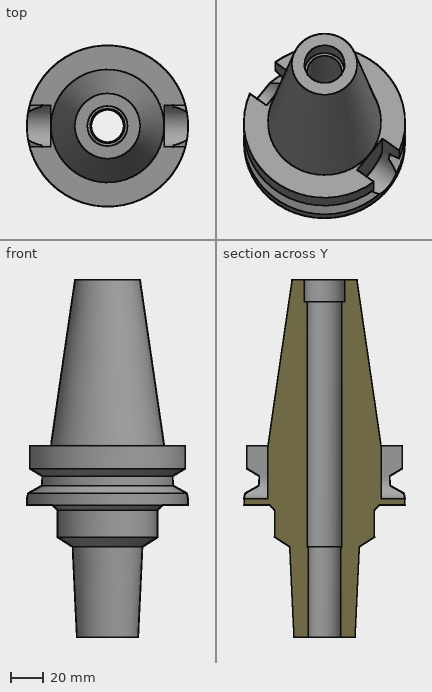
import cadquery as cq

total_height = 221.8
gauge_height = 120.0
flange_top = 118.9
groove_upper_edge = 104.7
groove_floor_top = 100.0
groove_floor_bottom = 94.0
groove_lower_edge = 89.4
flange_bottom = 82.0
collar_top = 79.0
collar_bottom = 62.0
nose_top = 56.1

flange_radius = 100.0 / 2
groove_radius = 42.5
gauge_radius = 35.0
flange_cone_radius = 34.4
collar_radius = 31.0
nose_top_radius = 21.7
nose_end_radius = 19.0

taper_ratio = 7 / 24
shank_end_radius = gauge_radius - (total_height - gauge_height) * taper_ratio / 2

tool_bore_radius = 10.0
shank_bore_radius = 10.6
shank_bore_start = nose_top
counterbore_radius = 12.5
counterbore_depth = 13.8

slot_width = 26.0
slot_bottom = 86.0
slot_floor_offset = 35.3


def make_body():
    """Revolve the outer profile, given as (radius, height) points, about Z."""
    profile = [
        (0, 0),
        (nose_end_radius, 0),
        (nose_top_radius, nose_top),
        (collar_radius, collar_bottom),
        (collar_radius, collar_top),
        (flange_cone_radius, flange_bottom),
        (flange_radius, flange_bottom),
        (flange_radius, groove_lower_edge),
        (groove_radius, groove_floor_bottom),
        (groove_radius, groove_floor_top),
        (flange_radius, groove_upper_edge),
        (flange_radius, flange_top),
        (gauge_radius, flange_top),
        (gauge_radius, gauge_height),
        (shank_end_radius, total_height),
        (0, total_height),
    ]
    return cq.Workplane("XZ").polyline(profile).close().revolve(360, (0, 0), (0, 1))


def make_bore():
    """Cutter of stacked cylinders, each running from its start up to the top face."""
    steps = [
        (tool_bore_radius, 0),
        (shank_bore_radius, shank_bore_start),
        (counterbore_radius, total_height - counterbore_depth),
    ]
    bore = cq.Workplane("XY")
    for radius, start in steps:
        step = cq.Workplane("XY").workplane(offset=start).circle(radius).extrude(total_height - start)
        bore = bore.union(step)
    return bore


def make_drive_slot():
    """Cutter for the slot on the +X side, from its flat floor out to the rim."""
    half_width = slot_width / 2
    arc_center = slot_bottom + half_width
    return (
        cq.Workplane("YZ")
        .workplane(offset=slot_floor_offset)
        .moveTo(-half_width, flange_top)
        .lineTo(-half_width, arc_center)
        .threePointArc((0, slot_bottom), (half_width, arc_center))
        .lineTo(half_width, flange_top)
        .close()
        .extrude(flange_radius)
    )


result = make_body().cut(make_bore())
for slot_angle in (0, 180):
    result = result.cut(make_drive_slot().rotate((0, 0, 0), (0, 0, 1), slot_angle))